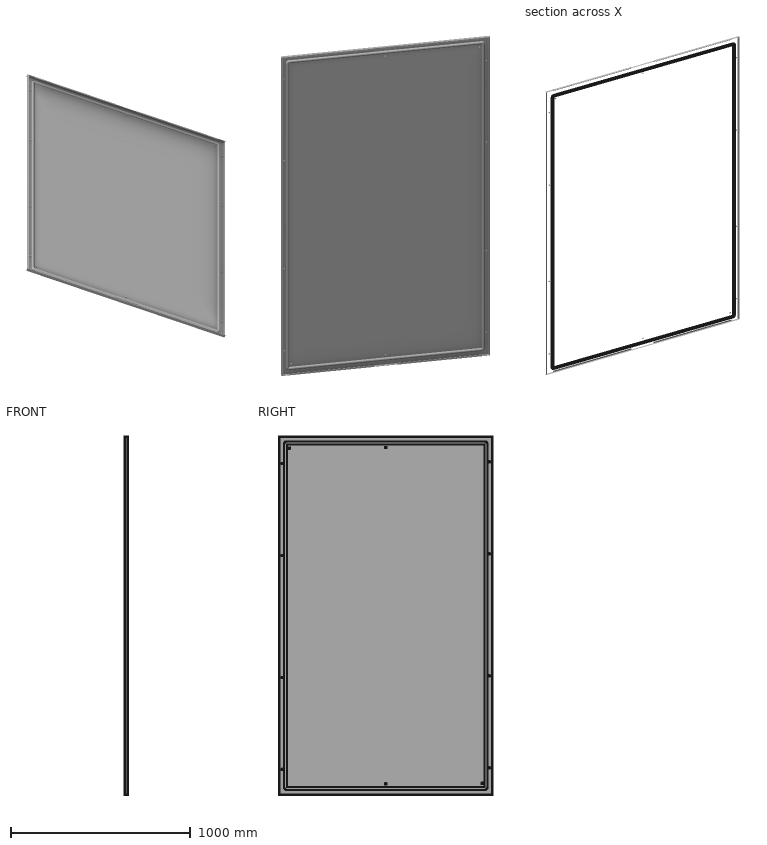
import cadquery as cq
import math

RIGHT_ANGLE = 90

DEPTH = 17.0
WIDTH = 1188.56
HEIGHT = 1996.0
SHEET = 2.2

BACK_X = -DEPTH / 2
SKIN_X = DEPTH / 2
SKIN_INNER_X = SKIN_X - SHEET

ROLL_RADIUS = 8.5
ROLL_START = math.radians(RIGHT_ANGLE)
ROLL_END = math.radians(-RIGHT_ANGLE / 2)
ROLL_CENTRE_X = SKIN_X - ROLL_RADIUS
ROLL_CENTRE_Y = WIDTH / 2 - ROLL_RADIUS

LIP_WIDTH = 10.0
LIP_OUTER_Y = 548.0
LIP_INNER_Y = 67.0

BEAD_RADIUS = 9.0
BEAD_CENTRE_Y = 557.4
BEAD_CENTRE_Z = 961.5

STUD_DIAMETER = 8.0
STUD_HEIGHT = 10.0
STUD_SINK = SHEET / 2
SIDE_STUD_Y = 575.0
SIDE_STUD_HALF_SPACINGS = (339.5, 851.5)
SIDE_STUD_SHIFT_Z = 4.5
END_STUD_Z = 936.0
CORNER_STUD_Y = 537.0
CORNER_STUD_Z = 933.0


def roll_point(radius, angle):
    """Point of the rolled edge; the angle runs from +Y towards +X."""
    return (
        ROLL_CENTRE_X + radius * math.sin(angle),
        ROLL_CENTRE_Y + radius * math.cos(angle),
    )


def rolled_area(radius):
    """Cross-section inside a roll of this radius, closed straight across the open back."""
    start = roll_point(radius, ROLL_START)
    middle = roll_point(radius, (ROLL_START + ROLL_END) / 2)
    end = roll_point(radius, ROLL_END)
    lip_run = end[0] - BACK_X
    tip = (BACK_X, end[1] + lip_run * math.tan(ROLL_END))

    def mirrored(point):
        return (point[0], -point[1])

    return (
        cq.Workplane("XY")
        .moveTo(*start)
        .threePointArc(middle, end)
        .lineTo(*tip)
        .lineTo(*mirrored(tip))
        .lineTo(*mirrored(end))
        .threePointArc(mirrored(middle), mirrored(start))
        .close()
    )


def box_between(x_range, y_range, z_range):
    sizes = [high - low for low, high in (x_range, y_range, z_range)]
    corner = (x_range[0], y_range[0], z_range[0])
    return cq.Workplane("XY").box(*sizes, centered=False).translate(corner)


def make_tray():
    """Skin with rolled long sides and flat flanges across both short ends."""
    cavity_height = HEIGHT - 2 * SHEET
    outside = rolled_area(ROLL_RADIUS).extrude(HEIGHT / 2, both=True)
    cavity = rolled_area(ROLL_RADIUS - SHEET).extrude(cavity_height / 2, both=True)
    tray = outside.cut(cavity)
    for flange_base_z in (-HEIGHT / 2, HEIGHT / 2 - SHEET):
        flange_z = (flange_base_z, flange_base_z + SHEET)
        tray = tray.union(box_between((BACK_X, SKIN_X), (-WIDTH / 2, WIDTH / 2), flange_z))
    return tray


def add_end_lips(tray):
    """Two return lips on each end flange, with the flange set back between them."""
    x_range = (BACK_X, BACK_X + SHEET)
    edge_z = HEIGHT / 2
    for z_range in ((edge_z - LIP_WIDTH, edge_z), (-edge_z, LIP_WIDTH - edge_z)):
        for y_range in ((LIP_INNER_Y, LIP_OUTER_Y), (-LIP_OUTER_Y, -LIP_INNER_Y)):
            tray = tray.union(box_between(x_range, y_range, z_range))
        tray = tray.cut(box_between(x_range, (-LIP_INNER_Y, LIP_INNER_Y), z_range))
    return tray


def half_disc(plane, centre):
    """Half-disc bead section whose flat side lies on the skin."""
    return (
        cq.Workplane(plane, origin=centre)
        .moveTo(0, -BEAD_RADIUS)
        .threePointArc((-BEAD_RADIUS, 0), (0, BEAD_RADIUS))
        .close()
    )


def make_bead():
    """Closed half-round frame; each corner turns about the inner edge of the bead."""
    pivot_y = BEAD_CENTRE_Y - BEAD_RADIUS
    pivot_z = BEAD_CENTRE_Z - BEAD_RADIUS
    side_section = half_disc("XY", (SKIN_INNER_X, BEAD_CENTRE_Y, 0))
    end_section = half_disc("XZ", (SKIN_INNER_X, 0, BEAD_CENTRE_Z))
    corner_section = half_disc("XY", (SKIN_INNER_X, BEAD_CENTRE_Y, pivot_z))
    side = side_section.extrude(pivot_z, both=True)
    end = end_section.extrude(pivot_y, both=True)
    corner = corner_section.revolve(RIGHT_ANGLE, (0, -BEAD_RADIUS, 0), (1, -BEAD_RADIUS, 0))
    bead = side.union(side.mirror("XZ")).union(end).union(end.mirror("XY"))
    for piece in (corner, corner.mirror("XZ")):
        bead = bead.union(piece).union(piece.mirror("XY"))
    return bead


def stud_places():
    """Stud places (Y, Z); the pattern repeats after half a turn about X."""
    places = [(0, END_STUD_Z), (-CORNER_STUD_Y, CORNER_STUD_Z)]
    for spacing in SIDE_STUD_HALF_SPACINGS:
        for z in (-spacing, spacing):
            places.append((-SIDE_STUD_Y, z - SIDE_STUD_SHIFT_Z))
    return places + [(-y, -z) for y, z in places]


def make_studs():
    return (
        cq.Workplane("YZ", origin=(SKIN_INNER_X - STUD_HEIGHT, 0, 0))
        .pushPoints(stud_places())
        .circle(STUD_DIAMETER / 2)
        .extrude(STUD_HEIGHT + STUD_SINK)
    )


tray = add_end_lips(make_tray())
result = tray.union(make_bead()).union(make_studs())